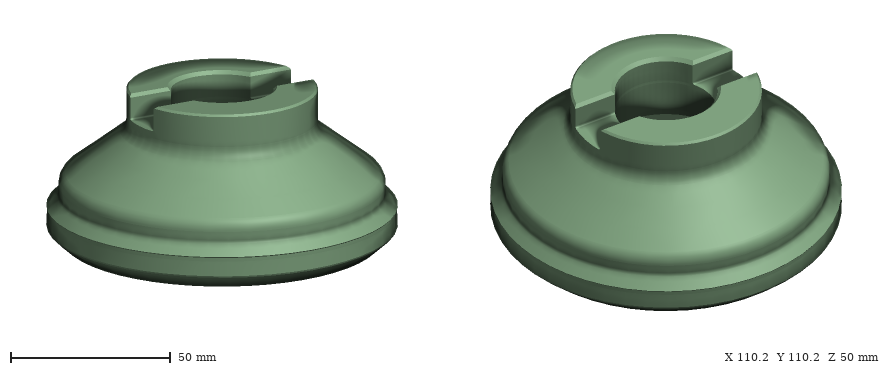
import cadquery as cq
import math

OUTER_RADIUS = 55.1
HEIGHT = 50.0

NECK_RADIUS = 60.0 / 2
NECK_CHAMFER = 0.7
NECK_FILLET = 5.1
NECK_FILLET_TOP = 39.5
SKIRT_RADIUS = 102.6 / 2
SKIRT_FILLET = 5.0
SKIRT_FILLET_BOTTOM = 18.3
FLANGE_FILLET = 1.4
FLANGE_FILLET_BOTTOM = 14.5
FLANGE_EDGE = 11.2
HUB_BOTTOM = 10.9
FLANGE_ANGLE = math.radians(45)
SLOPE_ANGLE = math.radians(37.6)

BORE_TOP_RADIUS = 32.2 / 2
BORE_RADIUS = 32.1 / 2
BORE_CHAMFER = 1.1
BORE_STEP_TOP = 41.6
BORE_STEP_BOTTOM = 40.8
SOCKET_RADIUS = 45.1 / 2
SOCKET_TOP = 30.6

SLOT_HALF_WIDTH = 7.11
SLOT_DEPTH = 8.3
SLOT_TOP_CHAMFER = 1.0
SLOT_FLOOR_FILLET = 0.7

BOSS_TOP = 24.0
HOLE_RADIUS = 18.0 / 2
HOLE_CHAMFER = 0.5
BAND_TOP = 9.7
BAND_BOTTOM = 5.0
BAND_INSET = 0.2
LOWER_EDGE_HEIGHT = 4.4
LOWER_BEVEL_HEIGHT = 3.3
LOWER_BEVEL_RADIUS = 53.8
FOOT_RADIUS = 50.0


def revolve_z(profile):
    """Turn a closed radius/height profile about the Z axis."""
    return profile.close().revolve(360, (0, 0, 0), (0, 1, 0))


def arc_point(center, radius, angle):
    return (center[0] + radius * math.cos(angle), center[1] + radius * math.sin(angle))


def make_hub_blank():
    """Turned hub: neck, conical shoulder, skirt, flange, stepped bore and lower socket."""
    normal = math.pi / 2 - SLOPE_ANGLE
    neck_center = (NECK_RADIUS + NECK_FILLET, NECK_FILLET_TOP)
    skirt_center = (SKIRT_RADIUS - SKIRT_FILLET, SKIRT_FILLET_BOTTOM)
    flange_center = (
        SKIRT_RADIUS + FLANGE_FILLET,
        FLANGE_FILLET_BOTTOM + FLANGE_FILLET * math.sin(FLANGE_ANGLE),
    )
    profile = (
        cq.Workplane("XZ")
        .moveTo(SOCKET_RADIUS, HUB_BOTTOM)
        .lineTo(OUTER_RADIUS - BAND_INSET, HUB_BOTTOM)
        .lineTo(OUTER_RADIUS, FLANGE_EDGE)
        .lineTo(*arc_point(flange_center, FLANGE_FILLET, math.pi + FLANGE_ANGLE))
        .threePointArc(
            arc_point(flange_center, FLANGE_FILLET, math.pi + FLANGE_ANGLE / 2),
            arc_point(flange_center, FLANGE_FILLET, math.pi),
        )
        .lineTo(SKIRT_RADIUS, SKIRT_FILLET_BOTTOM)
        .threePointArc(
            arc_point(skirt_center, SKIRT_FILLET, normal / 2),
            arc_point(skirt_center, SKIRT_FILLET, normal),
        )
        .lineTo(*arc_point(neck_center, NECK_FILLET, math.pi + normal))
        .threePointArc(
            arc_point(neck_center, NECK_FILLET, math.pi + normal / 2),
            (NECK_RADIUS, NECK_FILLET_TOP),
        )
        .lineTo(NECK_RADIUS, HEIGHT - NECK_CHAMFER)
        .lineTo(NECK_RADIUS - NECK_CHAMFER, HEIGHT)
        .lineTo(BORE_TOP_RADIUS + BORE_CHAMFER, HEIGHT)
        .lineTo(BORE_TOP_RADIUS, HEIGHT - BORE_CHAMFER)
        .lineTo(BORE_TOP_RADIUS, BORE_STEP_TOP)
        .lineTo(BORE_RADIUS, BORE_STEP_BOTTOM)
        .lineTo(BORE_RADIUS, SOCKET_TOP)
        .lineTo(SOCKET_RADIUS, SOCKET_TOP)
    )
    return revolve_z(profile)


def make_slot_cutter():
    """Slot along Y with rounded floor corners and chamfered upper edges."""
    length = 2 * OUTER_RADIUS
    channel = (
        cq.Workplane("XY")
        .workplane(offset=HEIGHT - SLOT_DEPTH)
        .rect(2 * SLOT_HALF_WIDTH, length)
        .extrude(SLOT_DEPTH)
        .edges("|Y and <Z")
        .fillet(SLOT_FLOOR_FILLET)
    )
    top_half_width = SLOT_HALF_WIDTH + SLOT_TOP_CHAMFER
    flare = (
        cq.Workplane("XZ")
        .polyline([
            (-SLOT_HALF_WIDTH, HEIGHT - SLOT_TOP_CHAMFER),
            (SLOT_HALF_WIDTH, HEIGHT - SLOT_TOP_CHAMFER),
            (top_half_width, HEIGHT),
            (-top_half_width, HEIGHT),
        ])
        .close()
        .extrude(length / 2, both=True)
    )
    return channel.union(flare)


def make_hub():
    return make_hub_blank().cut(make_slot_cutter())


def make_base():
    """Turned base: central boss in the hub socket, flat hub seat and bevelled rim."""
    profile = cq.Workplane("XZ").polyline([
        (HOLE_RADIUS, 0),
        (FOOT_RADIUS, 0),
        (LOWER_BEVEL_RADIUS, LOWER_BEVEL_HEIGHT),
        (OUTER_RADIUS - BAND_INSET, LOWER_EDGE_HEIGHT),
        (OUTER_RADIUS, BAND_BOTTOM),
        (OUTER_RADIUS - BAND_INSET, BAND_TOP),
        (OUTER_RADIUS - BAND_INSET, HUB_BOTTOM),
        (SOCKET_RADIUS, HUB_BOTTOM),
        (SOCKET_RADIUS, BOSS_TOP),
        (HOLE_RADIUS + HOLE_CHAMFER, BOSS_TOP),
        (HOLE_RADIUS, BOSS_TOP - HOLE_CHAMFER),
    ])
    return revolve_z(profile)


hub = make_hub()
base = make_base()
result = cq.Compound.makeCompound([hub.val(), base.val()])